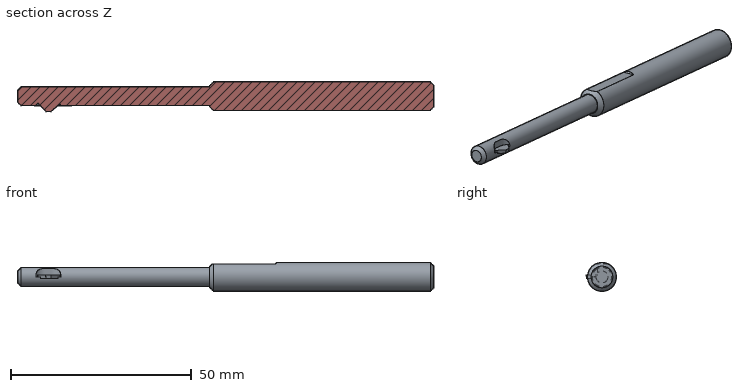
import cadquery as cq
import math

total_length = 115.0
shank_diameter = 8.0
neck_diameter = 5.3
shank_radius = shank_diameter / 2
neck_radius = neck_diameter / 2
end_chamfer = 1.0

shoulder_start = 52.95
shoulder_chamfer = 1.2

flat_depth = 0.4
flat_end = 71.2

tooth_center_x = 8.5
pocket_wall_y = -1.25
pocket_wall_half_length = 1.0
pocket_corner_radius = 2.9
pocket_floor_z = 0.0

tooth_tip_y = -4.39
tooth_root_y = -1.0
tooth_tip_half_width = 0.75
tooth_left_flank_angle = math.radians(43)
tooth_right_flank_angle = math.radians(50)
tooth_top_z = 0.5
tooth_bottom_z = -0.5
tooth_relief_angle = 10.0


def make_bar():
    """Turned bar: chamfered neck, stepped conical shoulder and chamfered shank."""
    profile = [
        (0, 0),
        (0, neck_radius - end_chamfer),
        (end_chamfer, neck_radius),
        (shoulder_start, neck_radius),
        (shoulder_start, shank_radius - shoulder_chamfer),
        (shoulder_start + shoulder_chamfer, shank_radius),
        (total_length - end_chamfer, shank_radius),
        (total_length, shank_radius - end_chamfer),
        (total_length, 0),
    ]
    return cq.Workplane("XY").polyline(profile).close().revolve(360, (0, 0, 0), (1, 0, 0))


def make_flat_cutter():
    """Wedge-ended block that mills the flat into the front part of the shank."""
    flat_z = shank_radius - flat_depth
    side = [
        (shoulder_start, flat_z),
        (flat_end, flat_z),
        (flat_end + flat_depth, shank_radius),
        (shoulder_start, shank_radius),
    ]
    return cq.Workplane("XZ").polyline(side).close().extrude(shank_radius, both=True)


def make_pocket_cutter():
    """Pocket with a flat back wall, arc ends tangent to it and a flat floor."""
    left_x = tooth_center_x - pocket_wall_half_length
    right_x = tooth_center_x + pocket_wall_half_length
    arc_center_y = pocket_wall_y - pocket_corner_radius
    arc_mid = pocket_corner_radius * math.sqrt(0.5)
    return (
        cq.Workplane("XY")
        .workplane(offset=pocket_floor_z)
        .moveTo(left_x, pocket_wall_y)
        .lineTo(right_x, pocket_wall_y)
        .threePointArc(
            (right_x + arc_mid, arc_center_y + arc_mid),
            (right_x + pocket_corner_radius, arc_center_y),
        )
        .lineTo(left_x - pocket_corner_radius, arc_center_y)
        .threePointArc((left_x - arc_mid, arc_center_y + arc_mid), (left_x, pocket_wall_y))
        .close()
        .extrude(neck_radius)
    )


def make_tooth():
    """Trapezoidal tooth, tapered downward so that its tip and flanks have relief."""
    tooth_length = tooth_root_y - tooth_tip_y
    tip_left_x = tooth_center_x - tooth_tip_half_width
    tip_right_x = tooth_center_x + tooth_tip_half_width
    root_left_x = tip_left_x - tooth_length * math.tan(tooth_left_flank_angle)
    root_right_x = tip_right_x + tooth_length * math.tan(tooth_right_flank_angle)
    outline = [
        (tip_left_x, tooth_tip_y),
        (tip_right_x, tooth_tip_y),
        (root_right_x, tooth_root_y),
        (root_left_x, tooth_root_y),
    ]
    return (
        cq.Workplane("XY")
        .workplane(offset=tooth_top_z)
        .polyline(outline)
        .close()
        .extrude(tooth_bottom_z - tooth_top_z, taper=tooth_relief_angle)
    )


bar = make_bar().cut(make_flat_cutter()).cut(make_pocket_cutter())
result = bar.union(make_tooth())